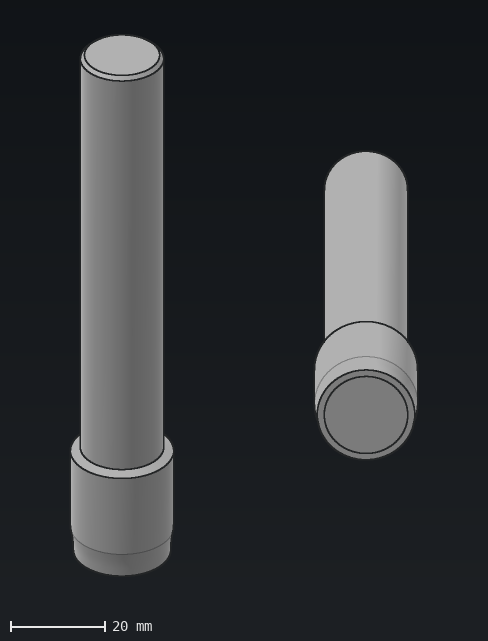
import cadquery as cq

PIN_LENGTH = 125.0
PIN_RADIUS = 8.9
PIN_CHAMFER = 0.9

SLEEVE_HEIGHT = 26.0
SLEEVE_RADIUS = 11.0
TOP_CONE_HEIGHT = 0.9
NOSE_HEIGHT = 6.0
NOSE_END_RADIUS = 10.4


def make_pin():
    """Rod standing on Z = 0, running the full length of the assembly."""
    rod = cq.Workplane("XY").circle(PIN_RADIUS).extrude(PIN_LENGTH)
    return rod.faces(">Z").chamfer(PIN_CHAMFER)


def make_sleeve():
    """Revolved collar bored to the pin, with a shallow conical top and a hollow-curved lead-in nose."""
    nose_inset = SLEEVE_RADIUS - NOSE_END_RADIUS
    nose_arc_radius = (NOSE_HEIGHT**2 + nose_inset**2) / (2 * nose_inset)

    return (
        cq.Workplane("XZ")
        .moveTo(PIN_RADIUS, 0)
        .lineTo(PIN_RADIUS, SLEEVE_HEIGHT)
        .lineTo(SLEEVE_RADIUS, SLEEVE_HEIGHT - TOP_CONE_HEIGHT)
        .lineTo(SLEEVE_RADIUS, NOSE_HEIGHT)
        .radiusArc((NOSE_END_RADIUS, 0), -nose_arc_radius)
        .close()
        .revolve(360, (0, 0, 0), (0, 1, 0))
    )


pin = make_pin()
sleeve = make_sleeve()

result = cq.Compound.makeCompound([pin.val(), sleeve.val()])